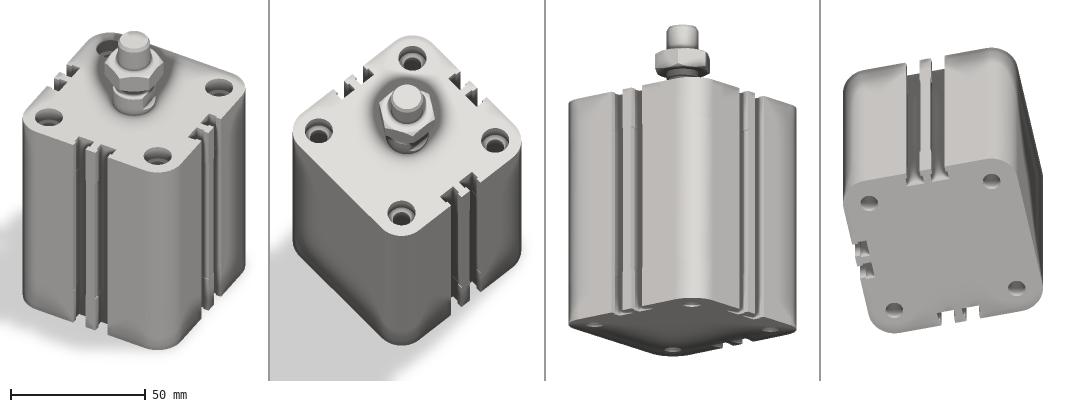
import cadquery as cq
import math

SIDE = 66.0
TOTAL_HEIGHT = 115.0
CORNER_RADIUS = 9.9

CAP_HEIGHT = 15.0
HOUSING_HEIGHT = 85.0
BARREL_HEIGHT = HOUSING_HEIGHT - 2 * CAP_HEIGHT

HOLE_OFFSET = 23.2
HOLE_DIAMETER = 6.5
COUNTERBORE_DIAMETER = 10.5
COUNTERBORE_DEPTH = 5.3

SLOT_DEPTH = 5.5
SLOT_LIP = 2.2
SLOT_INNER_WIDTH = 6.5
CAP_SLOT_OFFSET = 4.7
CAP_SLOT_MOUTH = 5.2
BARREL_SLOT_OFFSET = 4.6
BARREL_SLOT_MOUTH = 5.5
SLOTTED_SIDE_ANGLES = (-90, 0, 90)

ROD_DIAMETER = 16.0
ROD_BOTTOM = HOUSING_HEIGHT - CAP_HEIGHT
SHOULDER_TOP = 93.0
SHOULDER_CHAMFER = 0.29
NECK_DIAMETER = 10.7
THREAD_DIAMETER = 12.0
THREAD_BOTTOM = 95.6
THREAD_RUNOUT = 0.3
TIP_DIAMETER = 10.5
TIP_CHAMFER_HEIGHT = 1.4
BEARING_DIAMETER = 15.8
BEARING_PROTRUSION = 0.8

FLATS_WIDTH = 13.0
FLATS_BOTTOM = 87.5
FLATS_RUNOUT_ANGLE = 30.0

NUT_WIDTH = 19.0
NUT_HEIGHT = 7.0
NUT_BOTTOM = 97.9
NUT_CHAMFER_ANGLE = 30.0
NUT_SIDES = 6
NUT_HALF_SECTOR = 180.0 / NUT_SIDES


def slot_cutter(mouth_width, height):
    """One T-slot cutter, open through the -Y side and centred on X = 0."""
    mouth = cq.Workplane("XY").box(mouth_width, SLOT_DEPTH, height, centered=(True, False, False))
    inner = (
        cq.Workplane("XY")
        .box(SLOT_INNER_WIDTH, SLOT_DEPTH - SLOT_LIP, height, centered=(True, False, False))
        .translate((0, SLOT_LIP, 0))
    )
    return mouth.union(inner).translate((0, -SIDE / 2, 0))


def housing_section(bottom, height, slot_offset, slot_mouth):
    """A rounded square block with three pairs of T-slots and four screw holes."""
    block = cq.Workplane("XY").box(SIDE, SIDE, height, centered=(True, True, False))
    block = block.edges("|Z").fillet(CORNER_RADIUS)
    cutter = slot_cutter(slot_mouth, height)
    for angle in SLOTTED_SIDE_ANGLES:
        for offset in (-slot_offset, slot_offset):
            block = block.cut(cutter.translate((offset, 0, 0)).rotate((0, 0, 0), (0, 0, 1), angle))
    holes = (
        cq.Workplane("XY")
        .rect(2 * HOLE_OFFSET, 2 * HOLE_OFFSET, forConstruction=True)
        .vertices()
        .circle(HOLE_DIAMETER / 2)
        .extrude(height)
    )
    return block.cut(holes).translate((0, 0, bottom))


def make_rear_cap():
    return housing_section(0, CAP_HEIGHT, CAP_SLOT_OFFSET, CAP_SLOT_MOUTH)


def make_barrel():
    return housing_section(CAP_HEIGHT, BARREL_HEIGHT, BARREL_SLOT_OFFSET, BARREL_SLOT_MOUTH)


def make_front_cap(rod):
    """The front cap, with counterbored screw holes and a bore that fits the rod."""
    cap = housing_section(HOUSING_HEIGHT - CAP_HEIGHT, CAP_HEIGHT, CAP_SLOT_OFFSET, CAP_SLOT_MOUTH)
    counterbores = (
        cq.Workplane("XY", origin=(0, 0, HOUSING_HEIGHT))
        .rect(2 * HOLE_OFFSET, 2 * HOLE_OFFSET, forConstruction=True)
        .vertices()
        .circle(COUNTERBORE_DIAMETER / 2)
        .extrude(-COUNTERBORE_DEPTH)
    )
    return cap.cut(counterbores).cut(rod)


def make_rod():
    """The turned rod: guided length, shoulder, neck and thread end, with two wrench flats on the shoulder."""
    rod_radius = ROD_DIAMETER / 2
    bearing_radius = BEARING_DIAMETER / 2
    bearing_top = HOUSING_HEIGHT + BEARING_PROTRUSION
    neck_radius = NECK_DIAMETER / 2
    thread_radius = THREAD_DIAMETER / 2
    profile = [
        (0, ROD_BOTTOM),
        (bearing_radius, ROD_BOTTOM),
        (bearing_radius, bearing_top),
        (rod_radius, bearing_top),
        (rod_radius, SHOULDER_TOP - SHOULDER_CHAMFER),
        (rod_radius - SHOULDER_CHAMFER, SHOULDER_TOP),
        (neck_radius, SHOULDER_TOP),
        (neck_radius, THREAD_BOTTOM - THREAD_RUNOUT),
        (thread_radius, THREAD_BOTTOM),
        (thread_radius, TOTAL_HEIGHT - TIP_CHAMFER_HEIGHT),
        (TIP_DIAMETER / 2, TOTAL_HEIGHT),
        (0, TOTAL_HEIGHT),
    ]
    rod = cq.Workplane("XZ").polyline(profile).close().revolve(360, (0, 0), (0, 1))

    flat_x = FLATS_WIDTH / 2
    runout_drop = (ROD_DIAMETER - flat_x) * math.tan(math.radians(FLATS_RUNOUT_ANGLE))
    flat_cutter = (
        cq.Workplane("XZ")
        .moveTo(flat_x, SHOULDER_TOP)
        .lineTo(flat_x, FLATS_BOTTOM)
        .lineTo(ROD_DIAMETER, FLATS_BOTTOM - runout_drop)
        .lineTo(ROD_DIAMETER, SHOULDER_TOP)
        .close()
        .extrude(ROD_DIAMETER / 2, both=True)
    )
    return rod.cut(flat_cutter).cut(flat_cutter.mirror("YZ"))


def make_nut():
    """Hexagonal lock nut with two sides facing X and conical chamfers on both ends."""
    corner_diameter = NUT_WIDTH / math.cos(math.radians(NUT_HALF_SECTOR))
    flat_radius = NUT_WIDTH / 2
    corner_radius = corner_diameter / 2
    drop = (corner_radius - flat_radius) * math.tan(math.radians(NUT_CHAMFER_ANGLE))
    hexagon = cq.Workplane("XY").polygon(NUT_SIDES, corner_diameter).extrude(NUT_HEIGHT)
    hexagon = hexagon.rotate((0, 0, 0), (0, 0, 1), NUT_HALF_SECTOR)
    envelope = (
        cq.Workplane("XZ")
        .polyline(
            [
                (0, 0),
                (flat_radius, 0),
                (corner_radius, drop),
                (corner_radius, NUT_HEIGHT - drop),
                (flat_radius, NUT_HEIGHT),
                (0, NUT_HEIGHT),
            ]
        )
        .close()
        .revolve(360, (0, 0), (0, 1))
    )
    bore = cq.Workplane("XY").circle(THREAD_DIAMETER / 2).extrude(NUT_HEIGHT)
    return hexagon.intersect(envelope).cut(bore).translate((0, 0, NUT_BOTTOM))


rear_cap = make_rear_cap()
barrel = make_barrel()
rod = make_rod()
front_cap = make_front_cap(rod)
nut = make_nut()

result = cq.Compound.makeCompound(
    [rear_cap.val(), barrel.val(), front_cap.val(), rod.val(), nut.val()]
)